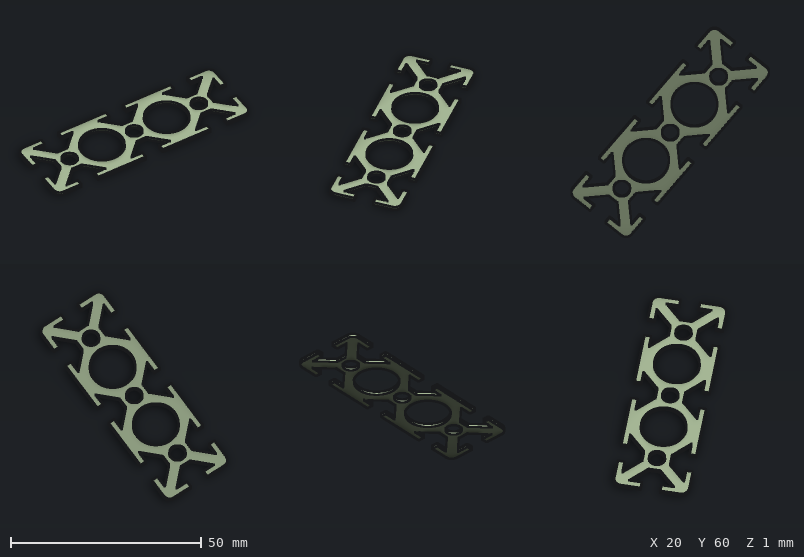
import cadquery as cq

length = 60.0
cell_count = 3
cell = length / cell_count
thickness = 1.0
corner_radius = 2.0

small_hole_diameter = 4.3
large_hole_diameter = 12.0

slot_opening = 5.2
lip_thickness = 1.8
core_half_width = 3.7
slot_floor_width = 3.0

cell_centers = [(i - (cell_count - 1) / 2) * cell for i in range(cell_count)]
cell_borders = [y + cell / 2 for y in cell_centers[:-1]]


def t_slot(center_y, angle):
    """Cutter for one T-slot that opens toward the given angle from +X."""
    edge = cell / 2
    lip = edge - lip_thickness
    half_opening = slot_opening / 2
    half_floor = slot_floor_width / 2
    half_mouth = half_floor + lip - core_half_width
    outline = [
        (core_half_width, -half_floor),
        (lip, -half_mouth),
        (lip, -half_opening),
        (edge, -half_opening),
        (edge, half_opening),
        (lip, half_opening),
        (lip, half_mouth),
        (core_half_width, half_floor),
    ]
    cutter = cq.Workplane("XY").polyline(outline).close().extrude(thickness)
    return cutter.rotate((0, 0, 0), (0, 0, 1), angle).translate((0, center_y, 0))


plate = cq.Workplane("XY").rect(cell, length).extrude(thickness)
plate = plate.edges("|Z").fillet(corner_radius)

small_holes = (
    cq.Workplane("XY")
    .pushPoints([(0, y) for y in cell_centers])
    .circle(small_hole_diameter / 2)
    .extrude(thickness)
)
large_holes = (
    cq.Workplane("XY")
    .pushPoints([(0, y) for y in cell_borders])
    .circle(large_hole_diameter / 2)
    .extrude(thickness)
)
plate = plate.cut(small_holes).cut(large_holes)

for y in cell_centers:
    for side_angle in (0, 180):
        plate = plate.cut(t_slot(y, side_angle))
plate = plate.cut(t_slot(cell_centers[-1], 90))
plate = plate.cut(t_slot(cell_centers[0], -90))

result = plate